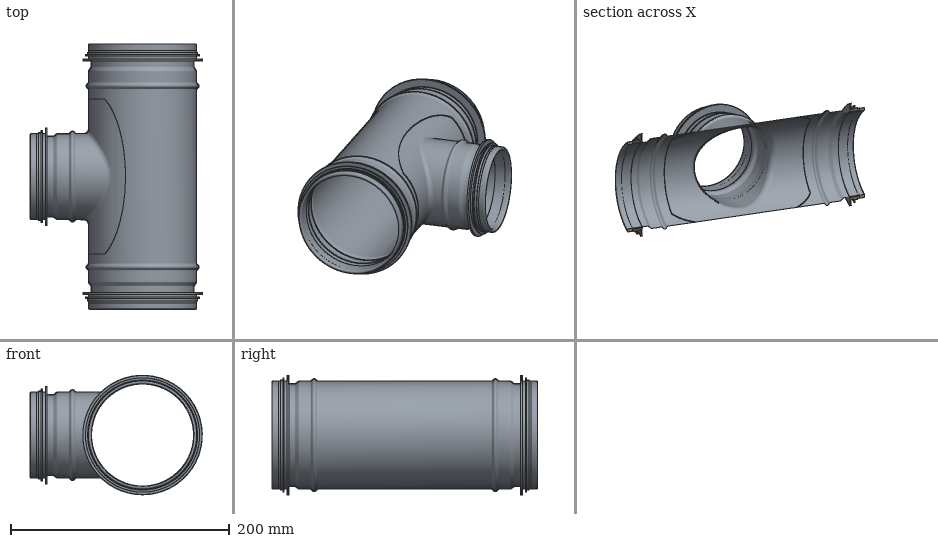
import cadquery as cq
import math

run_length = 243.0
branch_reach = 102.8
run_radius = 99.1 / 2
branch_radius = 79.0 / 2
sheet = 0.53
saddle_bore_radius = 77.0 / 2

hem_length = 5.95
groove_drop = 2.35
seat_drop = 1.82
shoulder_start = 21.5
shoulder_angle = 35.0
shoulder_foot_round = 1.2
shoulder_head_round = 2.5
bead_depth = 38.6
bead_height = 2.07
bead_angle = 45.0
bead_crest_round = 2.07
bead_foot_round = 0.7

hem_thickness = groove_drop + sheet
hem_round = hem_thickness / 2

narrowing_start = 36.2
narrowing_end = 41.0

seal_band_start = 7.8
seal_band_height = 0.7
lip_1_start = 10.0
lip_1_thickness = 1.2
lip_1_height = 2.7
lip_2_start = 13.9
lip_2_thickness = 1.7
lip_2_height = 5.0
seat_end = lip_2_start + lip_2_thickness

saddle_round = 4.1
saddle_half_length = 71.0
saddle_ellipse_across = 34.0
saddle_ellipse_along = 79.0

selection_margin = 2.5

run_mouths = [
    cq.Plane(origin=(0, side * run_length / 2, 0), xDir=(0, -side, 0), normal=(side, 0, 0))
    for side in (-1, 1)
]
branch_mouth = cq.Plane(origin=(-branch_reach, 0, 0), xDir=(1, 0, 0), normal=(0, 1, 0))


def revolve_about_pipe(profile):
    return profile.close().revolve(360, (0, 0), (1, 0))


def add_shoulder(profile, radius, inset):
    """Rounded rise from the groove to the pipe surface, moved inwards by `inset`."""
    angle = math.radians(shoulder_angle)
    half_turn = math.tan(angle / 2)
    foot_x = shoulder_start + inset * half_turn
    head_x = foot_x + groove_drop / math.tan(angle)
    foot_y = radius - groove_drop - inset
    head_y = radius - inset
    foot_tangent = (shoulder_foot_round + inset) * half_turn
    head_tangent = (shoulder_head_round - inset) * half_turn
    foot_end = (foot_x + foot_tangent * math.cos(angle), foot_y + foot_tangent * math.sin(angle))
    head_start = (head_x - head_tangent * math.cos(angle), head_y - head_tangent * math.sin(angle))
    return (
        profile
        .lineTo(foot_x - foot_tangent, foot_y)
        .tangentArcPoint(foot_end, relative=False)
        .lineTo(*head_start)
        .tangentArcPoint((head_x + head_tangent, head_y), relative=False)
    )


def add_bead(profile, radius, inset):
    """Round crest between straight flanks with rounded feet, moved inwards by `inset`."""
    angle = math.radians(bead_angle)
    crest_centre_y = radius + bead_height - bead_crest_round
    foot_centre_y = radius + bead_foot_round
    rounds = bead_crest_round + bead_foot_round
    flank_rise = crest_centre_y - foot_centre_y + rounds * math.cos(angle)
    half_width = rounds * math.sin(angle) + flank_rise / math.tan(angle)

    crest_round = bead_crest_round - inset
    foot_round = bead_foot_round + inset
    crest_x = crest_round * math.sin(angle)
    crest_y = crest_centre_y + crest_round * math.cos(angle)
    foot_x = half_width - foot_round * math.sin(angle)
    foot_y = foot_centre_y - foot_round * math.cos(angle)
    return (
        profile
        .lineTo(bead_depth - half_width, radius - inset)
        .tangentArcPoint((bead_depth - foot_x, foot_y), relative=False)
        .lineTo(bead_depth - crest_x, crest_y)
        .tangentArcPoint((bead_depth + crest_x, crest_y), relative=False)
        .lineTo(bead_depth + foot_x, foot_y)
        .tangentArcPoint((bead_depth + half_width, radius - inset), relative=False)
    )


def pipe_envelope(mouth, radius, length):
    """Solid bounded by the outer surface of a pipe with a spigot end."""
    profile = (
        cq.Workplane(mouth)
        .moveTo(hem_round, 0)
        .lineTo(hem_round, radius - hem_thickness)
        .threePointArc((0, radius - hem_round), (hem_round, radius))
        .lineTo(hem_length, radius)
        .lineTo(hem_length, radius - seat_drop)
        .lineTo(seat_end, radius - seat_drop)
        .lineTo(seat_end, radius - groove_drop)
    )
    profile = add_bead(add_shoulder(profile, radius, 0), radius, 0)
    return revolve_about_pipe(profile.lineTo(length, radius).lineTo(length, 0))


def start_bore(mouth, radius):
    """Bore outline from the hem to the pipe behind the shoulder."""
    profile = cq.Workplane(mouth).moveTo(hem_round, 0).lineTo(hem_round, radius - hem_thickness)
    return add_shoulder(profile, radius, sheet)


def run_bore(mouth):
    """Solid that fills half of the run, with the hollow of its bead."""
    profile = add_bead(start_bore(mouth, run_radius), run_radius, sheet)
    return revolve_about_pipe(profile.lineTo(run_length / 2, run_radius - sheet).lineTo(run_length / 2, 0))


def branch_bore():
    """Solid that fills the branch, narrower towards the saddle."""
    profile = (
        start_bore(branch_mouth, branch_radius)
        .lineTo(narrowing_start, branch_radius - sheet)
        .lineTo(narrowing_end, saddle_bore_radius)
        .lineTo(branch_reach, saddle_bore_radius)
        .lineTo(branch_reach, 0)
    )
    return revolve_about_pipe(profile)


def join_tee(run_halves, branch, round_radius):
    """Fuse the run and the branch and round the curve where they meet."""
    tee = run_halves[0].union(run_halves[1]).union(branch)
    reach = branch_radius + selection_margin
    meeting_zone = cq.selectors.BoxSelector(
        (-run_radius - selection_margin, -reach, -reach),
        (0, reach, reach),
        boundingbox=True,
    )
    return tee.edges(meeting_zone).fillet(round_radius)


def make_tee_shell():
    envelope = join_tee(
        [pipe_envelope(mouth, run_radius, run_length / 2) for mouth in run_mouths],
        pipe_envelope(branch_mouth, branch_radius, branch_reach),
        saddle_round,
    )
    bore = join_tee(
        [run_bore(mouth) for mouth in run_mouths],
        branch_bore(),
        saddle_round + branch_radius - saddle_bore_radius,
    )
    return envelope.cut(bore)


def make_saddle_zone():
    """Region of the tee that belongs to the saddle plate and its branch."""
    beyond_run = cq.Workplane("XY").box(
        branch_reach, run_length, run_length
    ).translate((-run_radius - branch_reach / 2, 0, 0))
    ellipse = (
        cq.Workplane("XY")
        .center(-run_radius, 0)
        .ellipse(saddle_ellipse_across, saddle_ellipse_along)
        .extrude(run_length / 2, both=True)
    )
    between_ends = cq.Workplane("XY").box(2 * run_length, 2 * saddle_half_length, 2 * run_length)
    return beyond_run.union(ellipse).intersect(between_ends)


def make_seal(mouth, radius):
    seat = radius - seat_drop
    lip_1_end = lip_1_start + lip_1_thickness
    band = radius + seal_band_height
    lip_1 = radius + lip_1_height
    lip_2 = radius + lip_2_height
    return revolve_about_pipe(
        cq.Workplane(mouth).polyline([
            (hem_length, seat),
            (hem_length, radius),
            (seal_band_start, radius),
            (seal_band_start, band),
            (lip_1_start, band),
            (lip_1_start, lip_1),
            (lip_1_end, lip_1),
            (lip_1_end, radius),
            (lip_2_start, radius),
            (lip_2_start, lip_2),
            (seat_end, lip_2),
            (seat_end, seat),
        ])
    )


tee_shell = make_tee_shell()
saddle_zone = make_saddle_zone()
run_pipe = tee_shell.cut(saddle_zone)
saddle_branch = tee_shell.intersect(saddle_zone)

seals = [make_seal(mouth, run_radius) for mouth in run_mouths]
seals.append(make_seal(branch_mouth, branch_radius))

result = cq.Compound.makeCompound(
    [run_pipe.val(), saddle_branch.val()] + [seal.val() for seal in seals]
)